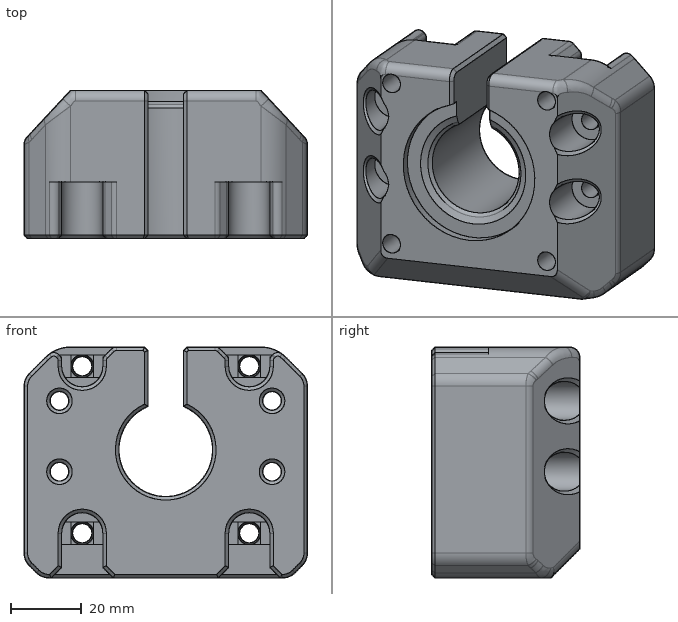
import cadquery as cq
import math


WIDTH = 80.0
DEPTH = 41.87
TOP = 29.0
BOTTOM = -36.2
TOP_CORNER_CUT = 9.0
TOP_CORNER_RADIUS = 10.0
BOTTOM_CORNER_CUT = 5.0
SIDE_CORNER_RADIUS = 5.0

SIDE_BEVEL_WIDTH = TOP_CORNER_CUT + TOP_CORNER_RADIUS * math.tan(math.pi / 8)
SIDE_BEVEL_DEPTH = 14.1
BOTTOM_BEVEL = 8.25
BACK_FILLET = 3.0

EDGE_CHAMFER = 1.0

BORE_DIAMETER = 26.4
SLOT_WIDTH = 10.0
RECESS_DIAMETER = 40.0
RECESS_DEPTH = 3.1
RECESS_CONE_DIAMETER = 32.0
RECESS_CONE_DEPTH = 0.95
BORE_BACK_CHAMFER = 0.95

MOTOR_SCREW_PITCH = 47.14
MOTOR_SCREW_DIAMETER = 5.4
POCKET_WIDTH = 11.6
POCKET_DEPTH = 16.0
FLARE = 3.0
NECK_WIDTH = 6.45
NECK_STEP = 0.3
FLARE_EDGE_RADIUS = 2.0

SIDE_SCREW_PITCH_X = 60.0
SIDE_SCREW_HEIGHTS = (30.0, 50.0)
SIDE_SCREW_DIAMETER = 5.2
SIDE_HEAD_DIAMETER = 11.0
SIDE_HEAD_DEPTH = 17.0

HALF_WIDTH = WIDTH / 2
HALF_PITCH = MOTOR_SCREW_PITCH / 2
MARGIN = 5.0
TOL = 0.01


def along_y(y=0.0):
    """Workplane whose sketch axes are X and Z, at the given Y."""
    return cq.Workplane("XZ", origin=(0, y, 0))


def prism(sketch, length):
    """Extrude an X-Z sketch toward +Y."""
    return sketch.extrude(-length)


def box(x0, x1, y0, y1, z0, z1):
    return cq.Workplane().box(x1 - x0, y1 - y0, z1 - z0, centered=False).translate((x0, y0, z0))


def cylinder(x, z, diameter, y0, y1):
    return prism(along_y(y0).center(x, z).circle(diameter / 2), y1 - y0)


def cone(x, z, diameter_0, diameter_1, y0, y1):
    return cq.Workplane(
        cq.Solid.makeCone(diameter_0 / 2, diameter_1 / 2, y1 - y0, cq.Vector(x, y0, z), cq.Vector(0, 1, 0))
    )


def both_sides(solid):
    return solid.union(solid.mirror("YZ"))


def round_corner(block, x, z, radius):
    """Round the edge parallel to Y that passes through (x, z), and its mirror image."""
    for side in (-1, 1):
        probe = cq.selectors.BoxSelector(
            (side * x - TOL, -MARGIN, z - TOL), (side * x + TOL, DEPTH + MARGIN, z + TOL)
        )
        block = block.edges(probe).fillet(radius)
    return block


def make_block():
    outline = [
        (HALF_WIDTH - BOTTOM_CORNER_CUT, BOTTOM),
        (HALF_WIDTH, BOTTOM + BOTTOM_CORNER_CUT),
        (HALF_WIDTH, TOP - TOP_CORNER_CUT),
        (HALF_WIDTH - TOP_CORNER_CUT, TOP),
    ]
    mirrored = [(-x, z) for x, z in reversed(outline)]
    block = prism(along_y().polyline(outline + mirrored).close(), DEPTH)
    for x, z in outline[:3]:
        block = round_corner(block, x, z, SIDE_CORNER_RADIUS)
    return round_corner(block, *outline[3], TOP_CORNER_RADIUS)


def bevel_back(block):
    """Bevel the bottom and the sides of the back, then round the top and the side bevel edges."""
    bottom_wedge = (
        cq.Workplane("YZ", origin=(-WIDTH, 0, 0))
        .polyline([(DEPTH - BOTTOM_BEVEL, BOTTOM), (DEPTH, BOTTOM), (DEPTH, BOTTOM + BOTTOM_BEVEL)])
        .close()
        .extrude(2 * WIDTH)
    )
    side_wedge = (
        cq.Workplane("XY", origin=(0, 0, BOTTOM - MARGIN))
        .polyline(
            [
                (-HALF_WIDTH, DEPTH - SIDE_BEVEL_DEPTH),
                (-HALF_WIDTH, DEPTH),
                (-HALF_WIDTH + SIDE_BEVEL_WIDTH, DEPTH),
            ]
        )
        .close()
        .extrude(TOP - BOTTOM + 2 * MARGIN)
    )
    block = block.cut(bottom_wedge).cut(both_sides(side_wedge))

    back_edges = block.faces(">Y").edges(">Z").vals()
    normal_x = math.cos(math.atan2(SIDE_BEVEL_WIDTH, SIDE_BEVEL_DEPTH))
    for face in block.faces("%PLANE").vals():
        normal = face.normalAt()
        if normal.y > TOL and abs(abs(normal.x) - normal_x) < TOL:
            back_edges += [edge for edge in face.Edges() if edge.Center().y < DEPTH - TOL]
    return block.newObject(back_edges).fillet(BACK_FILLET)


def cut_slot(block):
    """Cut the clamp slot and chamfer its edges along the top and the back."""
    half = SLOT_WIDTH / 2
    block = block.cut(box(-half, half, -MARGIN, DEPTH + MARGIN, 0, TOP + MARGIN))
    wall_edges = []
    for face in block.faces("%PLANE").vals():
        if abs(abs(face.Center().x) - half) < TOL and abs(face.normalAt().x) > 1 - TOL:
            wall_edges += [
                edge for edge in face.Edges() if edge.Center().y > TOL and edge.Center().z > TOL
            ]
    return block.newObject(wall_edges).chamfer(EDGE_CHAMFER)


def bore():
    recess_floor = DEPTH - RECESS_DEPTH
    cone_end = recess_floor - RECESS_CONE_DEPTH
    bore_end = cone_end - BORE_BACK_CHAMFER
    mouth = BORE_DIAMETER + 2 * BORE_BACK_CHAMFER
    cut = cylinder(0, 0, BORE_DIAMETER, -MARGIN, DEPTH)
    cut = cut.union(cylinder(0, 0, RECESS_DIAMETER, recess_floor, DEPTH + MARGIN))
    cut = cut.union(cone(0, 0, mouth, RECESS_CONE_DIAMETER, cone_end, recess_floor))
    return cut.union(cone(0, 0, BORE_DIAMETER, mouth, bore_end, cone_end))


def pocket(edge_z):
    """Head pocket of a left screw, round at the inner end and flared at the outer face Z = edge_z."""
    outward = math.copysign(1, edge_z)
    half = POCKET_WIDTH / 2
    x = -HALF_PITCH
    z = outward * HALF_PITCH
    flare_z = edge_z - outward * FLARE
    past_z = edge_z + outward * MARGIN
    past_half = half + FLARE + MARGIN
    sketch = (
        along_y(-MARGIN)
        .moveTo(x - half, z)
        .threePointArc((x, z - outward * half), (x + half, z))
        .lineTo(x + half, flare_z)
        .lineTo(x + past_half, past_z)
        .lineTo(x - past_half, past_z)
        .lineTo(x - half, flare_z)
        .close()
    )
    return prism(sketch, POCKET_DEPTH + MARGIN)


def round_upper_flares(block):
    """Round both ends of the flares of the upper pockets."""
    middle = POCKET_DEPTH / 2
    flare_edges = cq.selectors.BoxSelector(
        (-HALF_WIDTH, middle - TOL, TOP - FLARE - TOL), (HALF_WIDTH, middle + TOL, TOP + TOL)
    )
    return block.edges("|Y").edges(flare_edges).fillet(FLARE_EDGE_RADIUS)


def chamfer_pocket_floors(block):
    """Chamfer the edges between the lower pocket floors and the bottom face."""
    floor_edges = cq.selectors.BoxSelector(
        (-HALF_WIDTH, POCKET_DEPTH - TOL, BOTTOM - TOL), (HALF_WIDTH, POCKET_DEPTH + TOL, BOTTOM + TOL)
    )
    return block.edges(floor_edges).chamfer(EDGE_CHAMFER)


def screw_neck(edge_z):
    """Tapered hole of a left motor screw, with a slot and then a square sunk into the pocket floor."""
    x = -HALF_PITCH
    z = math.copysign(HALF_PITCH, edge_z)
    half = NECK_WIDTH / 2
    slot_floor = POCKET_DEPTH + NECK_STEP
    square_floor = slot_floor + NECK_STEP
    band = box(x - POCKET_WIDTH, x + POCKET_WIDTH, POCKET_DEPTH, slot_floor, z - half, z + half)
    slot = band.intersect(pocket(edge_z).translate((0, NECK_STEP, 0)))
    square = box(x - half, x + half, POCKET_DEPTH, square_floor, z - half, z + half)
    hole = cone(x, z, NECK_WIDTH, MOTOR_SCREW_DIAMETER, square_floor, DEPTH)
    return slot.union(square).union(hole)


def head_mouth(z):
    """Chamfer of a left head bore where it breaks through the side bevel."""
    x = -SIDE_SCREW_PITCH_X / 2
    bevel_length = math.hypot(SIDE_BEVEL_WIDTH, SIDE_BEVEL_DEPTH)
    along = cq.Vector(SIDE_BEVEL_WIDTH, SIDE_BEVEL_DEPTH, 0)
    outward = cq.Vector(-SIDE_BEVEL_DEPTH, SIDE_BEVEL_WIDTH, 0)
    stretch = bevel_length / SIDE_BEVEL_WIDTH
    y = DEPTH - SIDE_BEVEL_DEPTH + (HALF_WIDTH + x) * SIDE_BEVEL_DEPTH / SIDE_BEVEL_WIDTH
    bore_radius = SIDE_HEAD_DIAMETER / 2
    rings = []
    for step, growth in ((-EDGE_CHAMFER, 0), (EDGE_CHAMFER, 2 * EDGE_CHAMFER)):
        center = cq.Vector(x, y + step, z)
        rings.append(
            cq.Wire.makeEllipse(stretch * bore_radius + growth, bore_radius + growth, center, outward, along)
        )
    return cq.Workplane(cq.Solid.makeLoft(rings, True))


def side_screws():
    cut = cq.Workplane()
    for height in SIDE_SCREW_HEIGHTS:
        x = -SIDE_SCREW_PITCH_X / 2
        z = BOTTOM + height
        cut = cut.union(cylinder(x, z, SIDE_SCREW_DIAMETER, -MARGIN, DEPTH))
        cut = cut.union(cylinder(x, z, SIDE_HEAD_DIAMETER, DEPTH - SIDE_HEAD_DEPTH, DEPTH + MARGIN))
        cut = cut.union(head_mouth(z))
    return both_sides(cut)


body = cut_slot(bevel_back(make_block()))
body = body.cut(bore())
for face_z in (BOTTOM, TOP):
    body = body.cut(both_sides(pocket(face_z)))
body = round_upper_flares(body)
body = chamfer_pocket_floors(body)
body = body.cut(side_screws())
body = body.faces("<Y").edges().chamfer(EDGE_CHAMFER)
for face_z in (BOTTOM, TOP):
    body = body.cut(both_sides(screw_neck(face_z)))
result = body